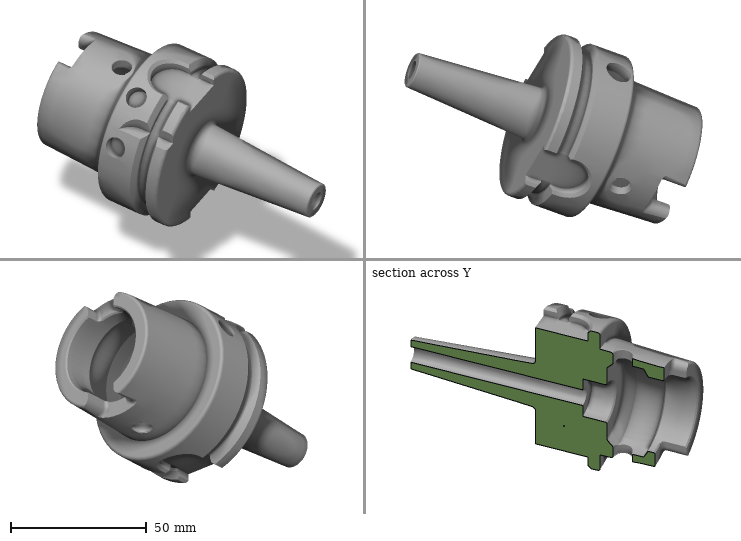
import cadquery as cq
import math


total_length = 108.0
shank_length = 32.0
shank_end_radius = 22.8
shank_base_radius = 24.3
shank_end_round = 1.1

flange_radius = 31.5
flange_length = 26.0
flange_end_x = shank_length + flange_length
flange_edge_round = 1.2

groove_floor_radius = 27.5
groove_start_x = 47.9
groove_end_x = 51.7
rear_flare_width = 1.4
front_flare_width = 1.6
flare_slope = math.tan(math.radians(60))

nose_base_radius = 10.0
nose_tip_radius = 6.7
nose_root_round = 1.6
nose_tip_chamfer = 0.3

bore_radius = 16.8
bore_straight_depth = 12.8
clamp_groove_radius = 20.0
clamp_groove_end_x = 25.7
clamp_shoulder_slope = math.tan(math.radians(60))
bore_floor_radius = 16.4
bore_floor_round = 1.6
bore_floor_slope = math.tan(math.radians(45))
bore_floor_x = clamp_groove_end_x + (clamp_groove_radius - bore_floor_radius) / bore_floor_slope
bore_mouth_chamfer = 0.5
tube_seat_radius = 8.4
tube_seat_end_x = 38.9
tube_seat_chamfer = 0.5
through_hole_radius = 3.5

cross_hole_x = 23.0
cross_hole_radius = 3.8
cross_hole_mouth_radius = 4.2
cross_hole_sink = 0.4

drive_slot_half_width = 6.3
drive_slot_corner_z = 18.0
drive_slot_lip_round = 3.0
drive_slot_floor_round = 1.3
upper_drive_slot_depth = 6.3
lower_drive_slot_depth = 10.0

keyway_half_width = 8.0
keyway_floor_z = 26.6
keyway_edge_chamfer = 1.2
keyway_arc_x = 44.9

notch_floor_z = 20.0
notch_wall_y = -19.9
notch_arc_radius = keyway_half_width
notch_arc_x = 44.4

key_hole_x = 38.1
key_hole_radius = 4.0
key_hole_floor_radius = 27.3
key_hole_middle = 135.0
key_hole_spread = 37.4
chip_hole_x = 38.5
chip_hole_radius = 5.0
chip_hole_floor_radius = 27.1

AXIS_START = (0, 0, 0)
AXIS_END = (1, 0, 0)

clearance = 5.4
margin = 0.1


def turned(points):
    """Revolve a closed (x, radius) outline about the X axis."""
    return cq.Workplane("XY").polyline(points).close().revolve(360, AXIS_START, AXIS_END)


def circles_at(x, largest_radius):
    """Select the circles about the X axis at one X, up to the given radius."""
    reach = largest_radius + margin
    return cq.selectors.BoxSelector(
        (x - margin, -reach, -reach), (x + margin, reach, reach), boundingbox=True)


def flipped(cutter):
    """Turn a cutter half a turn about the X axis."""
    return cutter.rotate(AXIS_START, AXIS_END, 180)


def shank():
    body = turned([
        (0, 0),
        (0, shank_end_radius),
        (shank_length, shank_base_radius),
        (shank_length, 0),
    ])
    return body.faces("<X").edges().fillet(shank_end_round)


def keyway():
    """Keyway above the flange floor plane, open toward the nose."""
    end_x = flange_end_x + clearance
    return (
        cq.Workplane("XY", origin=(0, 0, keyway_floor_z))
        .moveTo(end_x, -keyway_half_width)
        .lineTo(keyway_arc_x, -keyway_half_width)
        .threePointArc((keyway_arc_x - keyway_half_width, 0), (keyway_arc_x, keyway_half_width))
        .lineTo(end_x, keyway_half_width)
        .close()
        .extrude(flange_radius)
    )


def gripper_groove():
    return turned([
        (groove_start_x - rear_flare_width, flange_radius),
        (groove_start_x, flange_radius - rear_flare_width * flare_slope),
        (groove_start_x, groove_floor_radius),
        (groove_end_x, groove_floor_radius),
        (groove_end_x, flange_radius - front_flare_width * flare_slope),
        (groove_end_x + front_flare_width, flange_radius),
        (groove_end_x + front_flare_width, flange_radius + clearance),
        (groove_start_x - rear_flare_width, flange_radius + clearance),
    ])


def disc(length):
    return cq.Workplane("YZ", origin=(shank_length, 0, 0)).circle(flange_radius).extrude(length)


def flange():
    """Grooved disc with two keyways whose outer edges are chamfered."""
    blank = disc(flange_length + clearance / 2).cut(keyway()).cut(flipped(keyway()))
    reach = keyway_half_width + clearance / 2
    upper_rim = cq.selectors.BoxSelector(
        (keyway_arc_x - reach, -reach, keyway_floor_z + margin),
        (flange_end_x + clearance / 4, reach, flange_radius + margin))
    lower_rim = cq.selectors.BoxSelector(
        (keyway_arc_x - reach, -reach, -flange_radius - margin),
        (flange_end_x + clearance / 4, reach, -keyway_floor_z - margin))
    for rim in (upper_rim, lower_rim):
        blank = blank.edges(rim).chamfer(keyway_edge_chamfer)
    rounded_disc = disc(flange_length).faces("<X or >X").edges().fillet(flange_edge_round)
    return blank.intersect(rounded_disc).cut(gripper_groove())


def nose():
    body = turned([
        (flange_end_x, 0),
        (flange_end_x, nose_base_radius),
        (total_length, nose_tip_radius),
        (total_length, 0),
    ])
    return body.faces(">X").edges().chamfer(nose_tip_chamfer)


def axial_bore():
    """Bore with an internal clamping groove, then the coolant tube seat and the through hole."""
    clamp_groove_start_x = bore_straight_depth + (clamp_groove_radius - bore_radius) / clamp_shoulder_slope
    bore = turned([
        (0, 0),
        (0, bore_radius + bore_mouth_chamfer),
        (bore_mouth_chamfer, bore_radius),
        (bore_straight_depth, bore_radius),
        (clamp_groove_start_x, clamp_groove_radius),
        (clamp_groove_end_x, clamp_groove_radius),
        (bore_floor_x, bore_floor_radius),
        (bore_floor_x, tube_seat_radius + tube_seat_chamfer),
        (bore_floor_x + tube_seat_chamfer, tube_seat_radius),
        (tube_seat_end_x, tube_seat_radius),
        (tube_seat_end_x, through_hole_radius),
        (total_length, through_hole_radius),
        (total_length, 0),
    ])
    floor_circles = circles_at(bore_floor_x, clamp_groove_radius)
    outermost = cq.selectors.RadiusNthSelector(-1)
    return bore.edges(floor_circles).edges(outermost).fillet(bore_floor_round)


def cross_hole():
    """Hole through both shank walls, countersunk at each mouth."""
    taper = (shank_base_radius - shank_end_radius) / shank_length
    surface_z = shank_end_radius + taper * cross_hole_x
    drill = cq.Workplane("XY", origin=(cross_hole_x, 0, -shank_base_radius))
    drill = drill.circle(cross_hole_radius).extrude(2 * shank_base_radius)
    sink = cq.Workplane("XY", origin=(cross_hole_x, 0, surface_z - cross_hole_sink))
    sink = sink.circle(cross_hole_radius).workplane(offset=cross_hole_sink)
    sink = sink.circle(cross_hole_mouth_radius).loft()
    return drill.union(sink).union(sink.mirror("XY"))


def drive_slot(depth):
    """Slot in the upper shank wall whose sides flare outward in a round at the top."""
    lip_y = drive_slot_half_width + drive_slot_lip_round
    lip_z = drive_slot_corner_z + drive_slot_lip_round
    top_z = shank_base_radius + clearance
    bend = drive_slot_lip_round * (1 - math.sqrt(0.5))
    bend_y = drive_slot_half_width + bend
    bend_z = lip_z - bend
    outer_y = lip_y + clearance
    slot = (
        cq.Workplane("YZ")
        .moveTo(-drive_slot_half_width, 0)
        .lineTo(drive_slot_half_width, 0)
        .lineTo(drive_slot_half_width, drive_slot_corner_z)
        .threePointArc((bend_y, bend_z), (lip_y, lip_z))
        .lineTo(outer_y, lip_z)
        .lineTo(outer_y, top_z)
        .lineTo(-outer_y, top_z)
        .lineTo(-outer_y, lip_z)
        .lineTo(-lip_y, lip_z)
        .threePointArc((-bend_y, bend_z), (-drive_slot_half_width, drive_slot_corner_z))
        .close()
        .extrude(depth)
    )
    side_edges = cq.selectors.BoxSelector(
        (depth - margin, -lip_y, margin), (depth + margin, lip_y, lip_z - margin))
    slot = slot.edges(side_edges).fillet(drive_slot_floor_round)
    bore_edge = turned([
        (depth, 0),
        (depth, bore_radius + bore_mouth_chamfer),
        (depth + bore_mouth_chamfer, bore_radius),
        (depth + bore_mouth_chamfer, 0),
    ])
    floor_width = 2 * (drive_slot_half_width - drive_slot_floor_round)
    floor_zone = cq.Workplane("YZ").center(0, top_z / 2).rect(floor_width, top_z).extrude(shank_length)
    return slot.union(bore_edge.intersect(floor_zone))


def index_notch():
    """Step cut into the -Y, +Z shoulder of the flange, ending in an arc."""
    end_x = flange_end_x + clearance
    arc_y = notch_wall_y - notch_arc_radius
    outer_y = -flange_radius - clearance
    bend = notch_arc_radius * math.sqrt(0.5)
    return (
        cq.Workplane("XY", origin=(0, 0, notch_floor_z))
        .moveTo(end_x, notch_wall_y)
        .lineTo(notch_arc_x, notch_wall_y)
        .threePointArc((notch_arc_x - bend, arc_y + bend), (notch_arc_x - notch_arc_radius, arc_y))
        .lineTo(notch_arc_x - notch_arc_radius, outer_y)
        .lineTo(end_x, outer_y)
        .close()
        .extrude(flange_radius)
    )


def radial_hole(x, radius, floor_radius, angle):
    """Flat-bottomed hole pointing to the axis; angle is measured from +Y toward +Z."""
    hole = cq.Workplane("XZ", origin=(x, -floor_radius, 0)).circle(radius).extrude(flange_radius)
    return hole.rotate(AXIS_START, AXIS_END, angle - 180)


body = shank().union(flange()).union(nose())
nose_root = circles_at(flange_end_x, nose_base_radius)
body = body.edges(nose_root).fillet(nose_root_round)

body = body.cut(axial_bore()).cut(cross_hole())
body = body.cut(drive_slot(upper_drive_slot_depth))
body = body.cut(flipped(drive_slot(lower_drive_slot_depth)))
body = body.cut(index_notch())

for side in (-1, 1):
    hole_angle = key_hole_middle + side * key_hole_spread / 2
    body = body.cut(radial_hole(key_hole_x, key_hole_radius, key_hole_floor_radius, hole_angle))
body = body.cut(radial_hole(chip_hole_x, chip_hole_radius, chip_hole_floor_radius, 0))

result = body